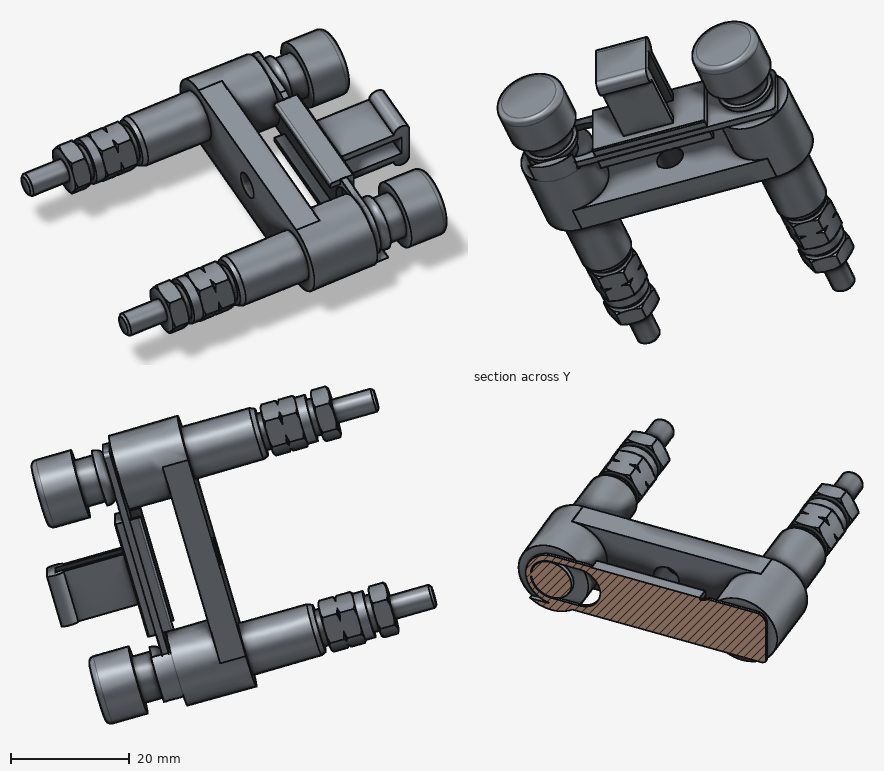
import cadquery as cq


post_spacing = 35.0
plate_height = 13.1
plate_thickness = 4.5
plate_hole_diameter = 4.7
boss_base_radius = plate_height / 2
boss_top_radius = 6.45
boss_length = 12.1
stop_top = -5.1

collar_radius = 3.75
flange_start = 13.7
flange_radius = 4.8
flange_end = 15.5
flange_bulge = 0.25
neck_radius = 4.05
knob_start = 18.9
knob_end = 26.05
knob_radius = 5.9
knob_fillet = 1.05

sleeve_base_radius = 4.55
sleeve_tip_radius = 4.5
sleeve_end = -12.0
sleeve_lip_radius = 4.1
sleeve_lip_end = -12.9
core_radius = 3.2
nut_length = 3.0
nut_corner_radius = 4.55
nut_face_radius = 4.05
nut_chamfer = 0.3
first_nut_start = -13.85
washer_radius = 4.05
washer_length = 1.7
last_nut_start = -22.7
stud_radius = 2.05
stud_end = -33.0
stud_chamfer = 0.45

blade_front = 12.45
blade_back = 13.6
blade_half_height = 5.2
blade_right_end = 22.3
blade_left_end = -blade_right_end
blade_top_corner_radius = 1.9
blade_bottom_corner_radius = 0.9
blade_step_start = -11.6
blade_step_end = -10.5
blade_step_drop = 0.55
slot_left_end = 8.5
slot_radius = 3.8

clip_width = 20.1
clip_half_height = 5.05
clip_front = 10.55
clip_back = 15.05
clip_flange_thickness = 1.2
clip_front_fillet = 0.45
clip_back_chamfer = 0.215

handle_width = 8.95
handle_end = 28.6
handle_wall = 1.5
handle_opening_half = 2.05
bead_radius = 1.5
handle_half_height = handle_opening_half + handle_wall

post_x = post_spacing / 2


def box(x_range, y_range, z_range):
    """Axis-aligned box between two limits on each axis."""
    sizes = [high - low for low, high in (x_range, y_range, z_range)]
    corner = (x_range[0], y_range[0], z_range[0])
    return cq.Workplane("XY").box(*sizes, centered=False).translate(corner)


def cylinder(x, radius, start, end):
    """Cylinder along Y at the given x, between two y positions."""
    sketch = cq.Workplane("XZ", origin=(x, end, 0)).circle(radius)
    return sketch.extrude(end - start)


def revolve_about_y(outline):
    """Revolve an outline of (radius, y) about the Y axis."""
    return outline.close().revolve(360, (0, 0, 0), (0, 1, 0))


def make_boss():
    outline = cq.Workplane("XY").polyline(
        [(0, 0), (boss_base_radius, 0), (boss_top_radius, boss_length), (0, boss_length)]
    )
    return revolve_about_y(outline)


def make_knob():
    """Collar, flared flange, neck and knob head behind the boss."""
    flank_middle = (
        (collar_radius + flange_radius) / 2 + flange_bulge,
        (flange_start + flange_end) / 2 - flange_bulge,
    )
    outline = (
        cq.Workplane("XY")
        .moveTo(0, boss_length)
        .lineTo(collar_radius, boss_length)
        .lineTo(collar_radius, flange_start)
        .threePointArc(flank_middle, (flange_radius, flange_end))
        .lineTo(neck_radius, flange_end)
        .lineTo(neck_radius, knob_start)
        .lineTo(knob_radius, knob_start)
        .lineTo(knob_radius, knob_end - knob_fillet)
        .tangentArcPoint((knob_radius - knob_fillet, knob_end), relative=False)
        .lineTo(0, knob_end)
    )
    return revolve_about_y(outline)


def make_sleeve():
    outline = cq.Workplane("XY").polyline(
        [
            (0, 0),
            (sleeve_base_radius, 0),
            (sleeve_tip_radius, sleeve_end),
            (sleeve_lip_radius, sleeve_lip_end),
            (0, sleeve_lip_end),
        ]
    )
    return revolve_about_y(outline)


def make_nut(start):
    """Hexagon nut with chamfered corners, from start towards -Y."""
    end = start - nut_length
    hexagon = (
        cq.Workplane("XZ", origin=(0, start, 0))
        .polygon(6, 2 * nut_corner_radius)
        .extrude(nut_length)
    )
    envelope = cq.Workplane("XY").polyline(
        [
            (0, start),
            (nut_face_radius, start),
            (nut_corner_radius, start - nut_chamfer),
            (nut_corner_radius, end + nut_chamfer),
            (nut_face_radius, end),
            (0, end),
        ]
    )
    return hexagon.intersect(revolve_about_y(envelope))


def make_post():
    """One complete post on the Y axis, from knob to stud tip."""
    second_nut_start = first_nut_start - nut_length
    washer_start = second_nut_start - nut_length
    stud = cylinder(0, stud_radius, stud_end, 0).faces("<Y").chamfer(stud_chamfer)
    post = make_boss().union(make_knob()).union(make_sleeve()).union(stud)
    post = post.union(cylinder(0, core_radius, last_nut_start, 0))
    post = post.union(cylinder(0, washer_radius, washer_start - washer_length, washer_start))
    for start in (first_nut_start, second_nut_start, last_nut_start):
        post = post.union(make_nut(start))
    return post


def make_plate():
    half = plate_height / 2
    plate = box((-post_x, post_x), (0, plate_thickness), (-half, half))
    return plate.cut(cylinder(0, plate_hole_diameter / 2, 0, plate_thickness))


def make_stop_lip():
    """Segment of the right boss wall that reaches back to the flange."""
    wall = cylinder(post_x, boss_top_radius, boss_length, flange_end)
    segment = box(
        (post_x - boss_top_radius, post_x + boss_top_radius),
        (boss_length, flange_end),
        (-boss_top_radius, stop_top),
    )
    return wall.intersect(segment)


def make_blade():
    """Link plate: round right end, rounded left corners, slot around the right post."""
    top = blade_half_height
    arc_center = blade_right_end - top
    top_corner = blade_top_corner_radius
    bottom_corner = blade_bottom_corner_radius
    blade = (
        cq.Workplane("XZ", origin=(0, blade_back, 0))
        .moveTo(arc_center, -top)
        .threePointArc((blade_right_end, 0), (arc_center, top))
        .lineTo(clip_width / 2, top)
        .lineTo(clip_width / 2, top - blade_step_drop)
        .lineTo(blade_step_end, top - blade_step_drop)
        .lineTo(blade_step_start, top)
        .lineTo(blade_left_end + top_corner, top)
        .tangentArcPoint((blade_left_end, top - top_corner), relative=False)
        .lineTo(blade_left_end, -top + bottom_corner)
        .tangentArcPoint((blade_left_end + bottom_corner, -top), relative=False)
        .close()
        .extrude(blade_back - blade_front)
    )
    slot_center = slot_left_end + slot_radius
    slot = cylinder(slot_center, slot_radius, blade_front, blade_back)
    slot = slot.union(
        box((slot_center, post_x), (blade_front, blade_back), (-slot_radius, slot_radius))
    )
    slot = slot.union(cylinder(post_x, slot_radius, blade_front, blade_back))
    return blade.cut(slot)


def make_clip():
    """C-shaped channel, open to the front, that holds the blade."""
    half_width = clip_width / 2
    inner = clip_half_height - clip_flange_thickness
    clip = box(
        (-half_width, half_width),
        (clip_front, clip_back),
        (-clip_half_height, clip_half_height),
    )
    clip = clip.faces("<Y").edges("|X").fillet(clip_front_fillet)
    clip = clip.faces(">Y").edges("|X").chamfer(clip_back_chamfer)
    return clip.cut(box((-half_width, half_width), (clip_front, blade_back), (-inner, inner)))


def make_handle():
    """Rectangular loop with a half-round bead along both rear edges."""
    bead_center = handle_end - bead_radius
    bead_front = bead_center - bead_radius
    half = handle_half_height
    crest = half + bead_radius
    handle = (
        cq.Workplane("YZ", origin=(-handle_width / 2, 0, 0))
        .moveTo(clip_back, -half)
        .lineTo(bead_front, -half)
        .threePointArc((bead_center, -crest), (handle_end, -half))
        .lineTo(handle_end, half)
        .threePointArc((bead_center, crest), (bead_front, half))
        .lineTo(clip_back, half)
        .close()
        .extrude(handle_width)
    )
    opening = box(
        (-handle_width / 2, handle_width / 2),
        (clip_back, handle_end - handle_wall),
        (-handle_opening_half, handle_opening_half),
    )
    return handle.cut(opening)


result = make_plate()
for side in (-1, 1):
    result = result.union(make_post().translate((side * post_x, 0, 0)))
for piece in (make_stop_lip(), make_blade(), make_clip(), make_handle()):
    result = result.union(piece)